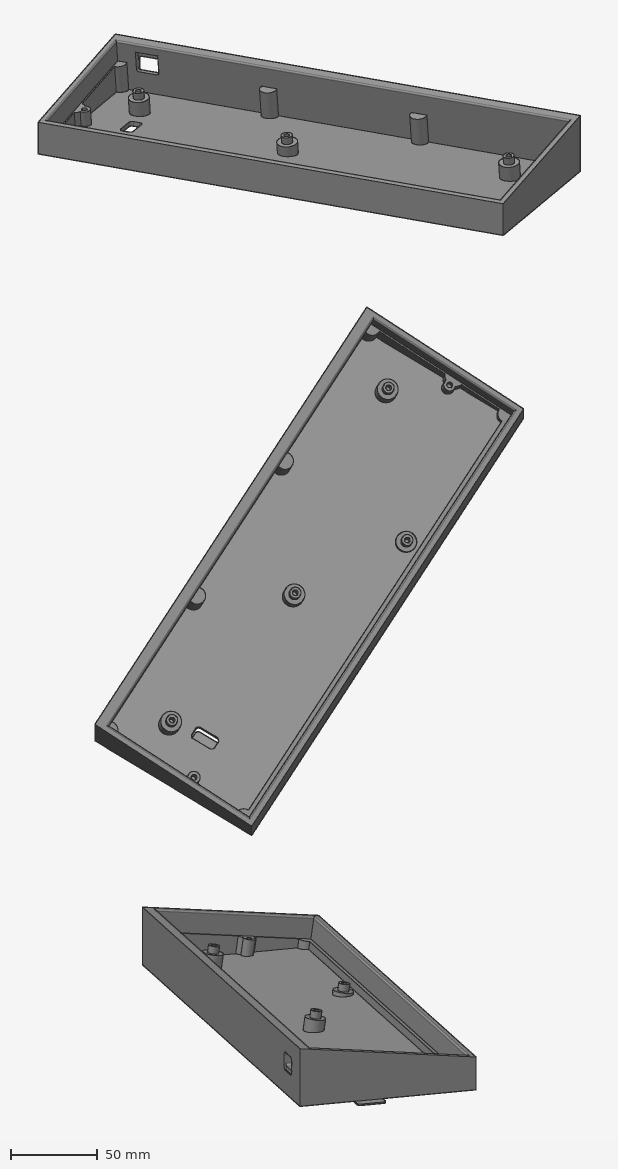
import cadquery as cq
import math

case_length = 295.5
case_width = 107.0
back_height = 35.0
slope_angle = 8.0
front_height = back_height - case_width * math.tan(math.radians(slope_angle))
floor_thickness = 3.0

rim_width = 3.0
rim_radius = 1.0
side_wall = rim_width + rim_radius
front_wall = 4.0
opening_back = 100.7
ledge_depth = 13.3
side_ledge = 1.0
front_ledge = 2.7
past_floor = 59.0

boss_diameter = 12.0
stud_diameter = 6.5
screw_hole_diameter = 3.2
boss_depth = 17.0
stud_depth = 12.7
screw_hole_length = 6.0
back_boss_v = 72.0
left_boss_u = 30.0
right_boss_u = 265.3
middle_boss = (133.2, 52.5)
front_boss = (195.5, 15.0)
bosses = [(left_boss_u, back_boss_v), (right_boss_u, back_boss_v), middle_boss, front_boss]

post_diameter = 10.0
back_post_v = 99.3
back_post_us = (100.0, 195.5)
corner_post_inset = 5.0
front_post_v = 6.8
side_post_diameter = 12.0
side_post_inset = 2.7
side_post_v = 43.5
nose_diameter = 7.0
nose_inset = 9.0

port_center_x = 22.7
port_width = 14.2
port_bottom = 14.0
port_top = 24.8
port_corner_radius = 2.5
recess_bottom = 16.0
recess_top = 28.7
recess_corner_radius = 1.5
recess_back_v = 104.3
port_reach = 11.8

slot_center = (34.5, 53.5)
slot_width = 8.0
slot_length = 15.5
slot_corner_radius = 2.0
plate_overlap = 1.0
plate_thickness = 1.0
plate_top_z = -11.5


def sloped_plane(depth):
    """Plane parallel to the sloped top, the given depth below it."""
    tilt = math.radians(slope_angle)
    normal = cq.Vector(0, -math.sin(tilt), math.cos(tilt))
    front_edge = cq.Vector(0, 0, front_height)
    return cq.Plane(origin=front_edge - normal * depth, xDir=(1, 0, 0), normal=normal)


def sloped_block(u_min, u_max, v_min, v_max, top_depth, bottom_depth):
    """Block square to the sloped top, between two depths."""
    return (
        cq.Workplane(sloped_plane(bottom_depth))
        .moveTo((u_min + u_max) / 2, (v_min + v_max) / 2)
        .rect(u_max - u_min, v_max - v_min)
        .extrude(bottom_depth - top_depth)
    )


def sloped_cylinders(centers, diameter, top_depth, bottom_depth):
    """Cylinders square to the sloped top, between two depths."""
    return (
        cq.Workplane(sloped_plane(bottom_depth))
        .pushPoints(centers)
        .circle(diameter / 2)
        .extrude(bottom_depth - top_depth)
    )


def make_wedge():
    profile = [(0, 0), (case_width, 0), (case_width, back_height), (0, front_height)]
    return cq.Workplane("YZ").polyline(profile).close().extrude(case_length)


def make_cavity():
    above_floor = (
        cq.Workplane("XY", origin=(0, 0, floor_thickness))
        .rect(case_length, case_width, centered=False)
        .extrude(back_height)
    )
    board_space = sloped_block(
        side_wall, case_length - side_wall, front_wall, opening_back, 0, ledge_depth
    )
    lower_inset = side_wall + side_ledge
    lower_space = sloped_block(
        lower_inset, case_length - lower_inset, front_wall + front_ledge, opening_back,
        ledge_depth, past_floor,
    )
    return board_space.union(lower_space).intersect(above_floor)


def round_rim(case):
    """Rounds the edges of the cavity's mouth in the sloped top."""
    sloped_top = case.faces(cq.selectors.DirectionMinMaxSelector(sloped_plane(0).zDir))
    mouth = sloped_top.val().innerWires()[0]
    return case.newObject(mouth.Edges()).fillet(rim_radius)


def make_supports():
    corner_us = (corner_post_inset, case_length - corner_post_inset)
    posts = [(u, back_post_v) for u in back_post_us]
    posts += [(u, v) for u in corner_us for v in (front_post_v, back_post_v)]
    side_posts = [(u, side_post_v) for u in (side_post_inset, case_length - side_post_inset)]
    supports = sloped_cylinders(posts, post_diameter, ledge_depth, past_floor)
    supports = supports.union(
        sloped_cylinders(side_posts, side_post_diameter, ledge_depth, past_floor)
    )
    supports = supports.union(sloped_cylinders(noses(), nose_diameter, ledge_depth, past_floor))
    supports = supports.union(sloped_cylinders(bosses, boss_diameter, boss_depth, past_floor))
    return supports.union(sloped_cylinders(bosses, stud_diameter, stud_depth, past_floor))


def noses():
    """Centres of the screw noses on the side posts."""
    return [(u, side_post_v) for u in (nose_inset, case_length - nose_inset)]


def make_screw_holes():
    hole_bottom = stud_depth + screw_hole_length
    return sloped_cylinders(bosses + noses(), screw_hole_diameter, 0, hole_bottom)


def port_block(bottom_z, top_z):
    """Level block that runs inwards from the back face at the port's place."""
    return (
        cq.Workplane("XZ", origin=(port_center_x, case_width, (bottom_z + top_z) / 2))
        .rect(port_width, top_z - bottom_z)
        .extrude(port_reach)
    )


def make_port():
    """Rounded hole through the back wall, with a recess set higher on its inner side."""
    hole = port_block(port_bottom, port_top).edges("|Y").fillet(port_corner_radius)
    hole_wall = sloped_block(0, case_length, recess_back_v, case_width + port_reach, 0, case_width)
    recess = port_block(recess_bottom, recess_top)
    recess = recess.faces("<Z").edges("|Y").fillet(recess_corner_radius)
    return hole.intersect(hole_wall).union(recess.cut(hole_wall))


def rounded_plate(width, length, bottom_z, thickness):
    return (
        cq.Workplane("XY", origin=(*slot_center, bottom_z))
        .rect(width, length)
        .extrude(thickness)
        .edges("|Z")
        .fillet(slot_corner_radius)
    )


def make_case():
    wedge = make_wedge()
    cavity = make_cavity().cut(make_supports())
    case = round_rim(wedge.cut(cavity))
    case = case.cut(make_screw_holes()).cut(make_port())
    return case.cut(rounded_plate(slot_width, slot_length, 0, floor_thickness))


def make_cover_plate():
    return rounded_plate(
        slot_width + 2 * plate_overlap, slot_length + 2 * plate_overlap,
        plate_top_z - plate_thickness, plate_thickness,
    )


case = make_case()
cover_plate = make_cover_plate()
result = cq.Compound.makeCompound([case.val(), cover_plate.val()])